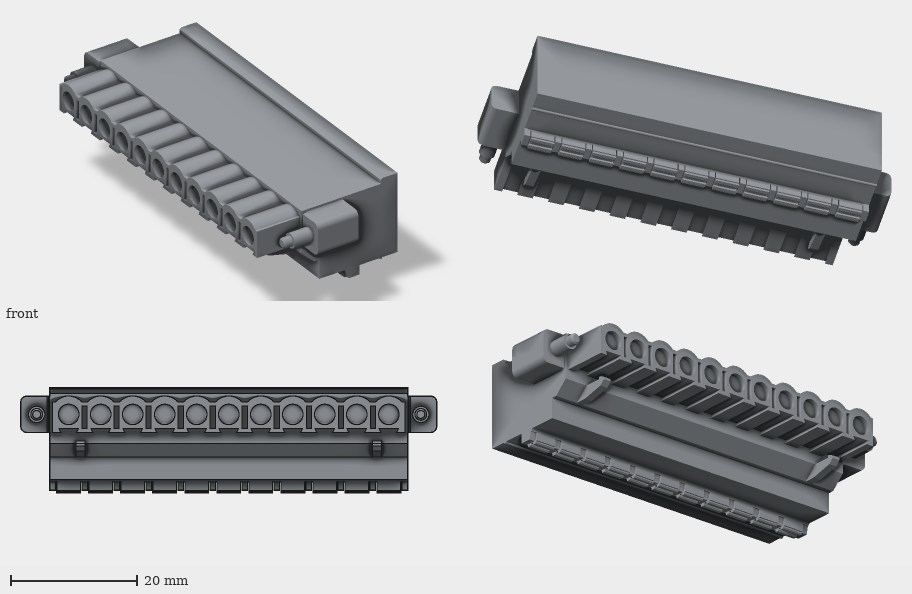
import cadquery as cq
import math


PITCH = 5.08
POLES = 11
POLE_XS = [PITCH * (i - (POLES - 1) / 2) for i in range(POLES)]
GAP_XS = [x + PITCH / 2 for x in POLE_XS[:-1]]

TOTAL_DEPTH = 26.6
TOTAL_HEIGHT = 16.71
WALL_OVERHANG = 0.5
HEADER_LENGTH = POLES * PITCH
BODY_LENGTH = HEADER_LENGTH + 2 * WALL_OVERHANG
BODY_DEPTH = 18.4
LOWER_DEPTH = 15.0
BODY_BOTTOM = 14.58
LIP_DEPTH = 3.2
LIP_HEIGHT = 0.98
LIP_CHAMFER_DEPTH = 0.4
LIP_CHAMFER_HEIGHT = 0.25
SLOPE_TOP = 8.87
SLOPE_BOTTOM = 11.05
SLOPE_BACK = 16.0

HEADER_TOP = 1.35
HEADER_SHOULDER = 2.28
HEADER_BOTTOM = 7.15
SHOULDER_STRIP = 0.93
HOLE_DROP = 4.27
HOLE_DIAMETER = 3.25
HOLE_DEPTH = 1.1
SLOT_WIDTH = 0.8
SLOT_TOP = 2.9
SLOT_BOTTOM = 6.48
NOTCH_TOP_WIDTH = 3.1
NOTCH_MOUTH_WIDTH = 2.5
NOTCH_TOP = 6.48

TOTAL_LENGTH = 66.04
EAR_BACK = 10.6
EAR_TOP = 1.35
EAR_BOTTOM = 7.15
EAR_RADIUS = 1.0
EAR_NOTCH_MOUTH = 0.4
EAR_NOTCH_FLOOR = 0.15
EAR_NOTCH_DEPTH = 0.85
SCREW_X = PITCH * (POLES + 1) / 2
SCREW_DROP = 4.27
SCREW_RADIUS = 1.3
SCREW_END = 22.0
TIP_RADIUS = 0.93
TIP_END = 23.6
TIP_CHAMFER = 0.3

LATCH_X = 23.5
LATCH_WIDTH = 1.4
LATCH_TIP = 22.75
LATCH_HOOK_BACK = 21.6
LATCH_HOOK_FRONT = 22.0
LATCH_HOOK_TOP = 8.5
LATCH_TIP_BOTTOM = 9.3
LATCH_NOSE_DEPTH = 21.9
LATCH_NOSE_DROP = 10.1
LATCH_ROOT = 18.0

RIB_BACK = 7.35
RIB_FRONT_TOP = 9.75
RIB_FRONT_BOTTOM = 9.4
RIB_BOTTOM = 16.31
FLARE_RADIUS = 0.4
TAB_WIDTH = 3.8
TAB_FRONT = 9.85
TAB_GAP = 0.18
TOOTH_BACK = 7.55
TOOTH_FRONT = 9.6
TOOTH_WIDTH = 0.75
TOOTH_CHAMFER = 0.2
BEAD_DEPTH = 3.2
BEAD_RADIUS = 0.25


def side_plane(x=0.0):
    """Sketch plane across the part at x, with depth and drop as its two coordinates."""
    return cq.Workplane(cq.Plane(origin=(x, 0, 0), xDir=(0, -1, 0), normal=(1, 0, 0)))


def side_prism(points, length, x_center=0.0):
    """Extrude a (depth, drop) outline along X, centred on x_center."""
    return side_plane(x_center).polyline(points).close().extrude(length / 2, both=True)


def block(x_min, x_max, depth_back, depth_front, drop_top, drop_bottom):
    """Rectangular block given by its X, depth and drop limits."""
    size = (x_max - x_min, depth_front - depth_back, drop_bottom - drop_top)
    return cq.Workplane("XY").box(*size, centered=False).translate((x_min, -depth_front, -drop_bottom))


def rod(x, drop, radius, depth_back, depth_front):
    """Round rod running forward at the given X and drop."""
    plane = cq.Workplane("XZ", origin=(x, -depth_back, -drop))
    return plane.circle(radius).extrude(depth_front - depth_back)


def make_body():
    outline = [
        (0, 0),
        (LIP_DEPTH - LIP_CHAMFER_DEPTH, 0),
        (LIP_DEPTH, LIP_CHAMFER_HEIGHT),
        (LIP_DEPTH, LIP_HEIGHT),
        (BODY_DEPTH, LIP_HEIGHT),
        (BODY_DEPTH, SLOPE_TOP),
        (SLOPE_BACK, SLOPE_BOTTOM),
        (LOWER_DEPTH, SLOPE_BOTTOM),
        (LOWER_DEPTH, BODY_BOTTOM),
        (0, BODY_BOTTOM),
    ]
    bead = cq.Workplane("YZ").center(-BEAD_DEPTH, -BODY_BOTTOM).circle(BEAD_RADIUS)
    return side_prism(outline, BODY_LENGTH).union(bead.extrude(BODY_LENGTH / 2, both=True))


def make_notch(x):
    """Dovetail groove along the underside of one pole, wider at its top than at its mouth."""
    half_top = NOTCH_TOP_WIDTH / 2
    half_mouth = NOTCH_MOUTH_WIDTH / 2
    outline = [
        (-half_top, -NOTCH_TOP),
        (half_top, -NOTCH_TOP),
        (half_mouth, -HEADER_BOTTOM),
        (-half_mouth, -HEADER_BOTTOM),
    ]
    plane = cq.Workplane("XZ", origin=(x, -BODY_DEPTH, 0))
    return plane.polyline(outline).close().extrude(TOTAL_DEPTH - BODY_DEPTH)


def make_header():
    half = HEADER_LENGTH / 2
    header = block(-half, half, LIP_DEPTH, TOTAL_DEPTH, HEADER_SHOULDER, HEADER_BOTTOM)
    half_chord = (PITCH - SHOULDER_STRIP) / 2
    for x in POLE_XS:
        crown = (
            cq.Workplane("XZ", origin=(x, -LIP_DEPTH, 0))
            .moveTo(-half_chord, -HOLE_DROP)
            .lineTo(-half_chord, -HEADER_SHOULDER)
            .threePointArc((0, -HEADER_TOP), (half_chord, -HEADER_SHOULDER))
            .lineTo(half_chord, -HOLE_DROP)
            .close()
            .extrude(TOTAL_DEPTH - LIP_DEPTH)
        )
        header = header.union(crown)
    for x in POLE_XS:
        hole = rod(x, HOLE_DROP, HOLE_DIAMETER / 2, TOTAL_DEPTH - HOLE_DEPTH, TOTAL_DEPTH)
        header = header.cut(hole).cut(make_notch(x))
    for x in GAP_XS:
        x_min = x - SLOT_WIDTH / 2
        slot = block(x_min, x_min + SLOT_WIDTH, BODY_DEPTH, TOTAL_DEPTH, SLOT_TOP, SLOT_BOTTOM)
        header = header.cut(slot)
    return header


def make_right_ear():
    wall = BODY_LENGTH / 2
    ear = block(wall, TOTAL_LENGTH / 2, EAR_BACK, BODY_DEPTH, EAR_TOP, EAR_BOTTOM)
    ear = ear.edges("|Y and >X").fillet(EAR_RADIUS)
    notch = (
        cq.Workplane("XY")
        .polyline(
            [
                (wall, -BODY_DEPTH),
                (wall + EAR_NOTCH_MOUTH, -BODY_DEPTH),
                (wall + EAR_NOTCH_FLOOR, -BODY_DEPTH + EAR_NOTCH_DEPTH),
                (wall, -BODY_DEPTH + EAR_NOTCH_DEPTH),
            ]
        )
        .close()
        .extrude(-TOTAL_HEIGHT)
    )
    shank = rod(SCREW_X, SCREW_DROP, SCREW_RADIUS, EAR_BACK, SCREW_END)
    tip = rod(SCREW_X, SCREW_DROP, TIP_RADIUS, EAR_BACK, TIP_END).faces("<Y").chamfer(TIP_CHAMFER)
    return ear.cut(notch).union(shank).union(tip)


def make_latch(x):
    outline = [
        (SLOPE_BACK, SLOPE_BOTTOM),
        (BODY_DEPTH, SLOPE_TOP),
        (LATCH_HOOK_BACK, SLOPE_TOP),
        (LATCH_HOOK_BACK, LATCH_HOOK_TOP),
        (LATCH_HOOK_FRONT, LATCH_HOOK_TOP),
        (LATCH_TIP, SLOPE_TOP),
        (LATCH_TIP, LATCH_TIP_BOTTOM),
        (LATCH_NOSE_DEPTH, LATCH_NOSE_DROP),
        (LATCH_ROOT, SLOPE_BOTTOM),
    ]
    return side_prism(outline, LATCH_WIDTH, x)


def make_flare():
    """Hollow-curved root between the body underside and the front of the tabs."""
    flare_front = TAB_FRONT + FLARE_RADIUS
    flare_bottom = BODY_BOTTOM + FLARE_RADIUS
    arc_inset = FLARE_RADIUS * math.sqrt(0.5)
    return (
        side_plane()
        .moveTo(RIB_BACK, BODY_BOTTOM)
        .lineTo(flare_front, BODY_BOTTOM)
        .threePointArc((flare_front - arc_inset, flare_bottom - arc_inset), (TAB_FRONT, flare_bottom))
        .lineTo(RIB_BACK, flare_bottom)
        .close()
        .extrude(BODY_LENGTH / 2, both=True)
    )


def make_rib():
    """Cross rib under the body, with a clear gap on both sides of every tab."""
    outline = [
        (RIB_BACK, BODY_BOTTOM),
        (RIB_FRONT_TOP, BODY_BOTTOM),
        (RIB_FRONT_BOTTOM, RIB_BOTTOM),
        (RIB_BACK, RIB_BOTTOM),
    ]
    rib = side_prism(outline, BODY_LENGTH)
    half_clear = TAB_WIDTH / 2 + TAB_GAP
    for x in POLE_XS:
        rib = rib.cut(block(x - half_clear, x + half_clear, 0, BODY_DEPTH, BODY_BOTTOM, TOTAL_HEIGHT))
    return rib


def make_tab(x):
    x_min = x - TAB_WIDTH / 2
    x_max = x + TAB_WIDTH / 2
    tab = block(x_min, x_max, RIB_BACK, TAB_FRONT, BODY_BOTTOM, RIB_BOTTOM)
    for back in (TOOTH_BACK, TOOTH_FRONT - TOOTH_WIDTH):
        front = back + TOOTH_WIDTH
        tooth = block(x_min, x_max, back, front, BODY_BOTTOM, TOTAL_HEIGHT)
        tab = tab.union(tooth.edges("|X and <Z and <Y").chamfer(TOOTH_CHAMFER))
    return tab


right_ear = make_right_ear()
part = make_body().union(make_header()).union(make_rib()).union(make_flare())
part = part.union(right_ear).union(right_ear.mirror("YZ"))
for latch_x in (-LATCH_X, LATCH_X):
    part = part.union(make_latch(latch_x))
for pole_x in POLE_XS:
    part = part.union(make_tab(pole_x))

result = part